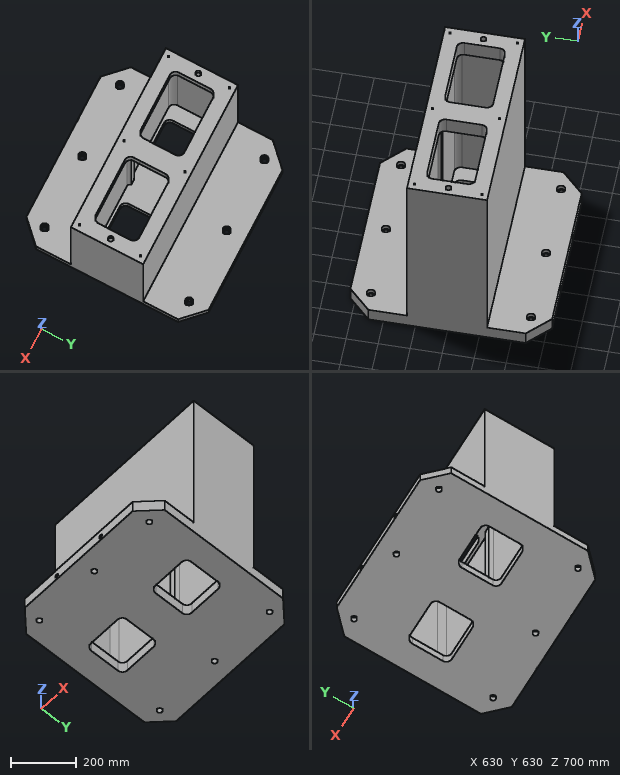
import cadquery as cq
import math

LENGTH = 630.0
WIDTH = 630.0
HEIGHT = 700.0
BASE_THICKNESS = 50.0
TOP_THICKNESS = 60.0
CORNER_CHAMFER = 69.0
COLUMN_WIDTH = 250.0

OPENING_INNER = 33.5
OPENING_OUTER = 265.0
OPENING_WIDTH = 150.5
CORNER_RADIUS = 20.0

UNDERCUT = 10.0
CAVITY_LENGTH = 2 * (OPENING_OUTER + UNDERCUT)
CAVITY_WIDTH = OPENING_WIDTH + 2 * UNDERCUT
CAVITY_HEIGHT = HEIGHT - BASE_THICKNESS - TOP_THICKNESS
RIB_THICKNESS = 20.0
RIB_FILLET = UNDERCUT

FLOOR_OPENING_LENGTH = 160.0
FLOOR_OPENING_X = 146.0

BOLT_PITCH = 250.0
BOLT_DIAMETER = 18.0
BOLT_HEAD_DIAMETER = 26.0
BOLT_HEAD_DEPTH = 17.0

DRILL_POINT_ANGLE = 118.0
TOP_HOLE_DIAMETER = 17.5
TOP_HOLE_DEPTH = 35.0
TOP_HOLE_X = 290.5
PIN_HOLE_DIAMETER = 5.0
PIN_HOLE_DEPTH = 10.0
PIN_HOLE_X = 295.5
PIN_HOLE_Y = 105.0
EDGE_HOLE_DIAMETER = 14.0
EDGE_HOLE_DEPTH = 30.0
EDGE_HOLE_X = 100.0
EDGE_HOLE_Z = 18.0


def rounded_block(length, width, height, x, z):
    """Block with rounded vertical edges, centred on (x, 0), standing on level z."""
    block = cq.Workplane("XY").box(length, width, height, centered=(True, True, False))
    return block.edges("|Z").fillet(CORNER_RADIUS).translate((x, 0, z))


def drill(diameter, depth, start, direction):
    """Solid of a blind drilled hole that ends in a conical drill point."""
    radius = diameter / 2
    tip = radius / math.tan(math.radians(DRILL_POINT_ANGLE / 2))
    start = cq.Vector(*start)
    direction = cq.Vector(*direction)
    shank = cq.Solid.makeCylinder(radius, depth, start, direction)
    point = cq.Solid.makeCone(radius, 0, tip, start + direction * depth, direction)
    return shank.fuse(point)


def body():
    """Base plate with cut corners and the solid column standing on it."""
    base = cq.Workplane("XY").box(LENGTH, WIDTH, BASE_THICKNESS, centered=(True, True, False))
    base = base.edges("|Z").chamfer(CORNER_CHAMFER)
    column = cq.Workplane("XY").box(LENGTH, COLUMN_WIDTH, HEIGHT, centered=(True, True, False))
    return base.union(column)


def cavity():
    """Hollow of the column: one room narrowed at the middle by a rib on each long wall."""
    room = rounded_block(CAVITY_LENGTH, CAVITY_WIDTH, CAVITY_HEIGHT, 0, BASE_THICKNESS)
    for side in (-1, 1):
        rib_y = side * CAVITY_WIDTH / 2
        foot_x = RIB_THICKNESS / 2 + RIB_FILLET
        crest_x = RIB_THICKNESS / 2
        crest_y = rib_y - side * UNDERCUT
        bend = RIB_FILLET * (1 - math.sqrt(0.5))
        rib = (
            cq.Workplane("XY", origin=(0, 0, BASE_THICKNESS))
            .moveTo(-foot_x, rib_y)
            .threePointArc((-crest_x - bend, rib_y - side * bend), (-crest_x, crest_y))
            .lineTo(crest_x, crest_y)
            .threePointArc((crest_x + bend, rib_y - side * bend), (foot_x, rib_y))
            .close()
            .extrude(CAVITY_HEIGHT)
        )
        room = room.cut(rib)
    return room


def plate_openings():
    """Openings through the top plate and through the base plate, one pair in each."""
    top_length = OPENING_OUTER - OPENING_INNER
    top_x = (OPENING_OUTER + OPENING_INNER) / 2
    top_z = HEIGHT - TOP_THICKNESS
    openings = cq.Workplane("XY")
    for side in (-1, 1):
        top = rounded_block(top_length, OPENING_WIDTH, TOP_THICKNESS, side * top_x, top_z)
        floor = rounded_block(FLOOR_OPENING_LENGTH, OPENING_WIDTH, BASE_THICKNESS, side * FLOOR_OPENING_X, 0)
        openings = openings.add(top).add(floor)
    return openings.combine()


def drilled_holes():
    """Blind holes in the column top and in the two long edges of the base plate."""
    holes = []
    down = (0, 0, -1)
    for side in (-1, 1):
        holes.append(drill(TOP_HOLE_DIAMETER, TOP_HOLE_DEPTH, (side * TOP_HOLE_X, 0, HEIGHT), down))
        for x in (-PIN_HOLE_X, 0, PIN_HOLE_X):
            holes.append(drill(PIN_HOLE_DIAMETER, PIN_HOLE_DEPTH, (x, side * PIN_HOLE_Y, HEIGHT), down))
        for x in (-EDGE_HOLE_X, EDGE_HOLE_X):
            edge_start = (x, side * WIDTH / 2, EDGE_HOLE_Z)
            holes.append(drill(EDGE_HOLE_DIAMETER, EDGE_HOLE_DEPTH, edge_start, (0, -side, 0)))
    return cq.Workplane("XY").newObject(holes).combine()


bolt_points = [(x, y) for x in (-BOLT_PITCH, 0, BOLT_PITCH) for y in (-BOLT_PITCH, BOLT_PITCH)]

result = body().cut(cavity()).cut(plate_openings()).cut(drilled_holes())
result = (
    result.copyWorkplane(cq.Workplane("XY", origin=(0, 0, BASE_THICKNESS)))
    .pushPoints(bolt_points)
    .cboreHole(BOLT_DIAMETER, BOLT_HEAD_DIAMETER, BOLT_HEAD_DEPTH, BASE_THICKNESS)
)